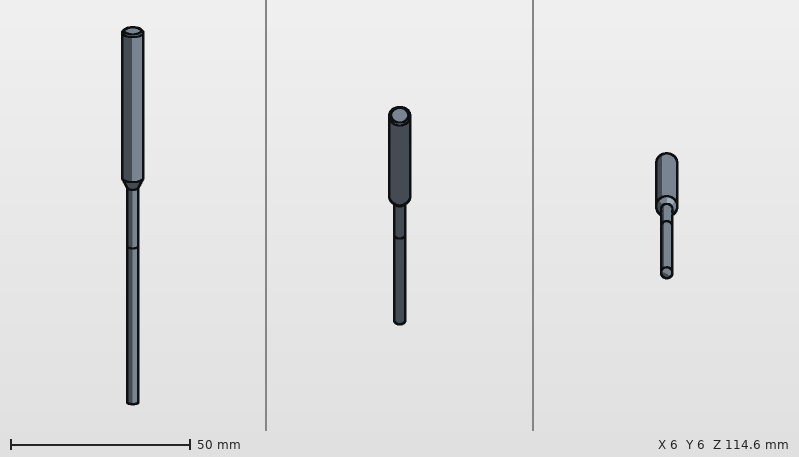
import cadquery as cq
import math

total_length = 114.6
shank_diameter = 6.0
stem_diameter = 3.2
cutter_length = 48.5
neck_top = 66.5
shank_bottom = 69.4
chamfer_height = 0.6
chamfer_width = 0.6
point_angle = 140.0

tip_z = -total_length / 2
shank_radius = shank_diameter / 2
stem_radius = stem_diameter / 2
point_height = stem_radius / math.tan(math.radians(point_angle / 2))


def revolve_profile(points):
    """Turn a closed (radius, height above tip) outline around the Z axis."""
    return (
        cq.Workplane("XZ", origin=(0, 0, tip_z))
        .polyline(points)
        .close()
        .revolve(360, (0, 0), (0, 1))
    )


def make_shank():
    """Chamfered shank, tapering through a cone into the plain neck."""
    return revolve_profile([
        (0, cutter_length),
        (stem_radius, cutter_length),
        (stem_radius, neck_top),
        (shank_radius, shank_bottom),
        (shank_radius, total_length - chamfer_height),
        (shank_radius - chamfer_width, total_length),
        (0, total_length),
    ])


def make_cutter():
    """Cylindrical cutting length with a conical drill point."""
    return revolve_profile([
        (0, 0),
        (stem_radius, point_height),
        (stem_radius, cutter_length),
        (0, cutter_length),
    ])


shank = make_shank()
cutter = make_cutter()
result = cq.Compound.makeCompound([shank.val(), cutter.val()])